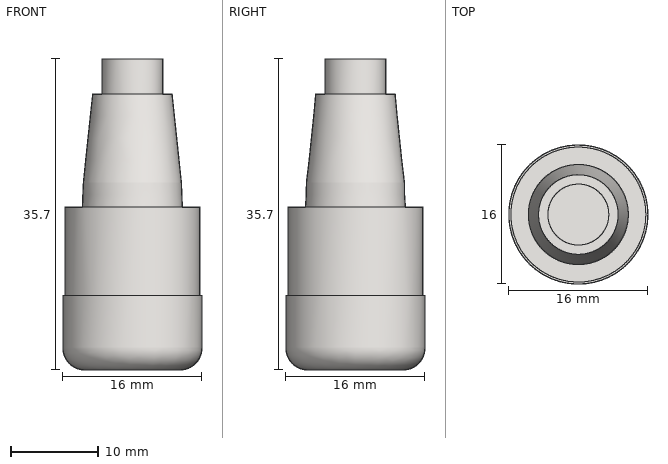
import cadquery as cq

total_height = 35.7
sleeve_top = 31.65
collar_top = 21.5
barrel_top = 18.7
cap_top = 8.57

cap_radius = 8.0
barrel_radius = 7.75
collar_bottom_radius = 5.75
collar_top_radius = 5.65
sleeve_top_radius = 4.57
cable_radius = 3.5
base_rounding = 2.57


def make_housing():
    """Turned housing: rounded cap, barrel, collar and tapered sleeve."""
    body = (
        cq.Workplane("XZ")
        .lineTo(cap_radius, 0)
        .lineTo(cap_radius, cap_top)
        .lineTo(barrel_radius, cap_top)
        .lineTo(barrel_radius, barrel_top)
        .lineTo(collar_bottom_radius, barrel_top)
        .lineTo(collar_top_radius, collar_top)
        .lineTo(sleeve_top_radius, sleeve_top)
        .lineTo(0, sleeve_top)
        .close()
        .revolve(360, (0, 0, 0), (0, 1, 0))
    )
    return body.faces("<Z").edges().fillet(base_rounding)


def make_cable():
    """Round cable stub standing on the end face of the sleeve."""
    return cq.Workplane("XY").workplane(offset=sleeve_top).circle(cable_radius).extrude(total_height - sleeve_top)


housing = make_housing()
cable = make_cable()

result = cq.Compound.makeCompound([housing.val(), cable.val()])